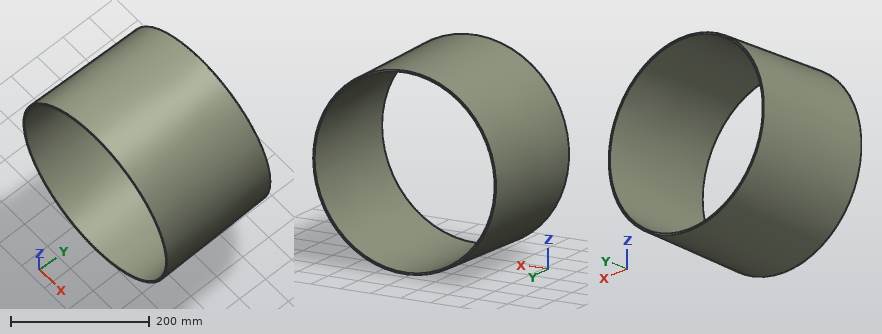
import cadquery as cq

LARGE_DIAMETER = 315.0
SMALL_DIAMETER = 306.0
LENGTH = 203.0
WALL = 3.0

large_radius = LARGE_DIAMETER / 2
small_radius = SMALL_DIAMETER / 2


def tapered_sleeve():
    """Revolve the slanted wall section about the Y axis, with both ends open."""
    wall_section = [
        (large_radius - WALL, 0),
        (large_radius, 0),
        (small_radius, LENGTH),
        (small_radius - WALL, LENGTH),
    ]
    return (
        cq.Workplane("XY")
        .polyline(wall_section)
        .close()
        .revolve(360, (0, 0, 0), (0, 1, 0))
    )


result = tapered_sleeve()